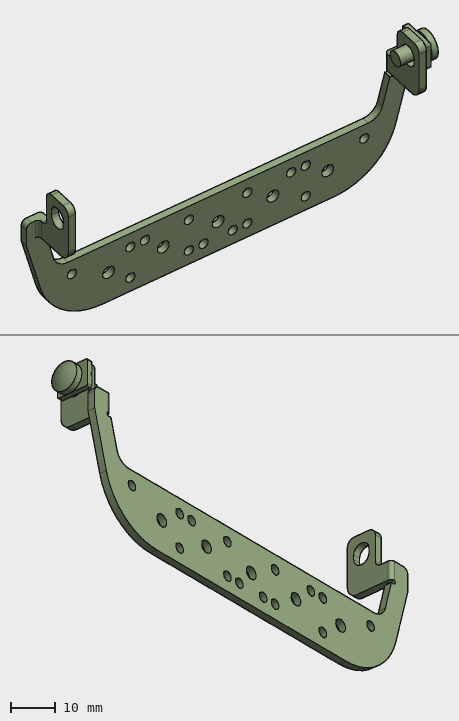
import cadquery as cq
import math

sheet = 2.0
half_width = 52.5
arm_top = 33.6
arm_corner_radius = 1.5
web_height = 17.0
slant = math.tan(math.radians(15))
slant_start = 27.6
bottom_radius = 17.5
web_corner_radius = 4.0

tab_inner = 47.0
tab_outer = tab_inner + sheet
tab_reach = 13.2
tab_width = 8.4
tab_left = tab_reach - tab_width
tab_centre = tab_reach - tab_width / 2
tab_top = 44.0
tab_corner_radius = 2.0
tab_low_radius = 3.0
tab_neck_radius = 1.5
bend_radius = 1.0

relief_height = 1.0
relief_depth = 1.3
tab_bottom = slant_start + relief_height

small_hole = 2.5
large_hole = 3.2
hole_row_middle = web_height / 2
hole_row_step = 4.5
upper_holes = (8, 20, 24, 40)
lower_holes = (4, 8, 24)
large_hole_pitch = 15.0
large_hole_count = 5
slot_width = 4.5
slot_length = 5.65
slot_top = 41.55

shank_diameter = 4.0
shank_protrusion = 3.5
slot_clearance = 0.05
screw_height = slot_top - slot_clearance - shank_diameter / 2
block_left = 3.8
block_length = 9.0
block_height = 7.0
block_gap = 0.2
block_inner = tab_outer + block_gap
block_thickness = 1.4
block_outer = block_inner + block_thickness
block_corner_radius = 0.45
groove_width = 0.5
groove_depth = 0.1
head_gap = 0.3
head_diameter = 7.5
head_rim = 1.7
crown_tip = 53.46


def plate():
    outer_foot = half_width - slant_start * slant
    inner_foot = tab_inner - (slant_start - web_height) * slant
    half_outline = [
        (half_width, arm_top),
        (half_width, slant_start),
        (outer_foot, 0),
    ]
    inner_side = [
        (inner_foot, web_height),
        (tab_inner, slant_start),
        (tab_inner, arm_top),
    ]
    right_side = inner_side + half_outline
    left_side = [(-y, z) for y, z in reversed(right_side)]
    body = cq.Workplane("YZ").polyline(right_side + left_side).close().extrude(sheet)
    for side in (-1, 1):
        for y, z, radius in (
            (half_width, arm_top, arm_corner_radius),
            (outer_foot, 0, bottom_radius),
            (inner_foot, web_height, web_corner_radius),
        ):
            corner = cq.selectors.NearestToPointSelector((sheet / 2, side * y, z))
            body = body.edges(corner).fillet(radius)
    return body


def tab():
    """Tab on the +Y side, with its neck to the plate and its rounded bend."""
    blank = (
        cq.Workplane("XZ", origin=(0, tab_outer, 0))
        .moveTo(0, tab_bottom)
        .lineTo(tab_reach - tab_low_radius, tab_bottom)
        .radiusArc((tab_reach, tab_bottom + tab_low_radius), -tab_low_radius)
        .lineTo(tab_reach, tab_top - tab_corner_radius)
        .radiusArc((tab_reach - tab_corner_radius, tab_top), -tab_corner_radius)
        .lineTo(tab_left + tab_corner_radius, tab_top)
        .radiusArc((tab_left, tab_top - tab_corner_radius), -tab_corner_radius)
        .lineTo(tab_left, arm_top + tab_neck_radius)
        .radiusArc((tab_left - tab_neck_radius, arm_top), tab_neck_radius)
        .lineTo(0, arm_top)
        .close()
        .extrude(sheet)
    )
    slot = (
        cq.Workplane("XZ", origin=(tab_centre, tab_outer, slot_top - slot_length / 2))
        .slot2D(slot_length, slot_width, 90)
        .extrude(sheet)
    )
    inside_bend = (
        cq.Workplane("XY", origin=(0, 0, tab_bottom))
        .moveTo(sheet, tab_outer)
        .lineTo(sheet + bend_radius, tab_outer)
        .radiusArc((sheet, tab_outer + bend_radius), bend_radius)
        .close()
        .extrude(arm_top - tab_bottom)
    )
    return blank.cut(slot).union(inside_bend)


def bend_rounding():
    """Corner waste removed where the plate face turns into the inner tab face."""
    return (
        cq.Workplane("XY", origin=(0, 0, tab_bottom))
        .moveTo(0, tab_inner)
        .lineTo(bend_radius, tab_inner)
        .radiusArc((0, tab_inner + bend_radius), bend_radius)
        .close()
        .extrude(arm_top - tab_bottom)
    )


def relief():
    """Round-ended notch that frees the bend from the sloping arm."""
    radius = relief_height / 2
    return (
        cq.Workplane("YZ")
        .moveTo(tab_inner, slant_start)
        .lineTo(tab_inner + relief_depth - radius, slant_start)
        .radiusArc((tab_inner + relief_depth - radius, tab_bottom), -radius)
        .lineTo(tab_inner, tab_bottom)
        .close()
        .extrude(sheet)
    )


def plate_holes():
    upper_row = hole_row_middle + hole_row_step
    lower_row = hole_row_middle - hole_row_step
    small_points = []
    for side in (-1, 1):
        small_points += [(side * y, upper_row) for y in upper_holes]
        small_points += [(side * y, lower_row) for y in lower_holes]
    first_large = -large_hole_pitch * (large_hole_count - 1) / 2
    large_points = [
        (first_large + i * large_hole_pitch, hole_row_middle) for i in range(large_hole_count)
    ]
    small = cq.Workplane("YZ").pushPoints(small_points).circle(small_hole / 2).extrude(sheet)
    large = cq.Workplane("YZ").pushPoints(large_points).circle(large_hole / 2).extrude(sheet)
    return small.add(large).combine()


def make_bracket():
    body = plate().cut(plate_holes())
    for mirrored in (False, True):
        added = tab()
        removed = bend_rounding().union(relief())
        if mirrored:
            added = added.mirror("XZ")
            removed = removed.mirror("XZ")
        body = body.union(added).cut(removed)
    return body


def make_block():
    """Rectangular clamp block between the tab and the screw head."""
    bottom = screw_height - block_height / 2
    block = (
        cq.Workplane("XY")
        .box(block_length, block_thickness, block_height, centered=False)
        .edges("|Y")
        .fillet(block_corner_radius)
        .translate((block_left, block_inner, bottom))
    )
    groove = (
        cq.Workplane("XY")
        .box(tab_centre - block_left, groove_depth, groove_width, centered=(False, False, True))
        .translate((block_left, block_inner, screw_height))
    )
    bore = (
        cq.Workplane("XZ", origin=(tab_centre, block_outer, screw_height))
        .circle(shank_diameter / 2)
        .extrude(block_thickness)
    )
    return block.cut(groove).cut(bore)


def make_screw():
    """Dome-headed screw along Y, revolved about its own axis."""
    tip = tab_inner - shank_protrusion
    head_base = block_outer + head_gap
    head_edge = head_base + head_rim
    shank_radius = shank_diameter / 2
    head_radius = head_diameter / 2
    crown_height = crown_tip - head_edge
    crown_radius = (head_radius**2 + crown_height**2) / (2 * crown_height)
    return (
        cq.Workplane("XY")
        .moveTo(0, tip)
        .lineTo(shank_radius, tip)
        .lineTo(shank_radius, head_base)
        .lineTo(head_radius, head_base)
        .lineTo(head_radius, head_edge)
        .radiusArc((0, crown_tip), -crown_radius)
        .close()
        .revolve(360, (0, 0), (0, 1))
        .translate((tab_centre, 0, screw_height))
    )


bracket = make_bracket()
block = make_block()
screw = make_screw()

result = cq.Compound.makeCompound([bracket.val(), block.val(), screw.val()])